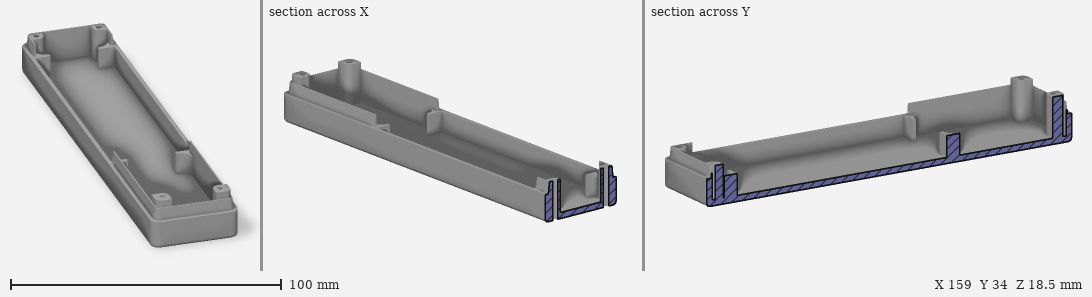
import cadquery as cq
import math

length = 159.0
width = 34.0
body_height = 11.0
corner_radius = 3.5
bottom_round = 1.5
floor_thickness = 2.5
side_wall = 1.5

lip_top = 15.6
lip_taper = 0.5
lip_corner_radius = 2.2
lip_wall = 1.0
lip_end_inset = 1.6
lip_side_inset = 1.5

rib_thickness = 1.5
middle_start = 13.5
middle_end = 104.5
rib_fillet = 5.1

hole_diameter = 2.2
post_radius = 2.5
left_post_inset = 5.0
left_post_reach = 2.5
right_post_inset_x = 6.0
right_post_inset_y = 5.9
right_post_reach = 3.5
right_post_top = 18.5
post_outer_radius = 2.2

left_end = -length / 2
right_end = length / 2
lip_height = lip_top - body_height
lip_length = length - 2 * lip_end_inset
lip_width = width - 2 * lip_side_inset
bay_right = lip_length / 2 - lip_wall
bay_left = -bay_right
bay_half_width = lip_width / 2 - lip_wall
middle_left = left_end + middle_start
middle_right = left_end + middle_end
left_lip_end = middle_left - rib_thickness
right_lip_start = middle_right + rib_thickness
rib_opening_half = bay_half_width - rib_fillet


def box(x_min, x_max, y_min, y_max, z_min, z_max):
    """Axis-aligned block given by its limits."""
    block = cq.Workplane("XY").box(x_max - x_min, y_max - y_min, z_max - z_min, centered=False)
    return block.translate((x_min, y_min, z_min))


def make_body():
    """Solid tray block with round corners and a rounded bottom edge."""
    block = cq.Workplane("XY").box(length, width, body_height, centered=(True, True, False))
    return block.edges("|Z").fillet(corner_radius).faces("<Z").edges().fillet(bottom_round)


def make_lip():
    """Tapered block on top of the body, removed over the middle bay and its ribs."""
    taper_angle = math.degrees(math.atan2(lip_taper, lip_height))
    outline = cq.Sketch().rect(lip_length, lip_width).vertices().fillet(lip_corner_radius)
    lip = (
        cq.Workplane("XY", origin=(0, 0, body_height))
        .placeSketch(outline)
        .extrude(lip_height, taper=taper_angle)
    )
    return lip.cut(box(left_lip_end, right_lip_start, -width, width, body_height, lip_top))


def make_end_bay(x_wall, x_rib):
    """Space of one end bay: rib corners are rounded in the body and left open inside the lip."""
    x_min = min(x_wall, x_rib)
    x_max = max(x_wall, x_rib)
    rib_side = ">X" if x_rib > x_wall else "<X"
    lower = box(x_min, x_max, -bay_half_width, bay_half_width, floor_thickness, body_height)
    upper = box(x_min, x_max, -bay_half_width, bay_half_width, body_height, lip_top)
    return lower.faces(rib_side).edges("|Z").fillet(rib_fillet).union(upper)


def make_cavity():
    """Both end bays, the wider middle bay and the opening between the rib tips."""
    middle_half_width = width / 2 - side_wall
    middle = box(middle_left, middle_right, -middle_half_width, middle_half_width, floor_thickness, lip_top)
    opening = box(
        left_lip_end, right_lip_start, -rib_opening_half, rib_opening_half, floor_thickness, lip_top
    )
    left_bay = make_end_bay(bay_left, left_lip_end)
    right_bay = make_end_bay(bay_right, right_lip_start)
    return middle.union(opening).union(left_bay).union(right_bay)


def make_post(x_hole, y_hole, reach, top):
    """Corner post: rounded about its hole inwards, square with a round corner outwards."""
    size = reach + post_radius
    shift = (reach - post_radius) / 2
    post = (
        cq.Workplane("XY")
        .rect(size, size)
        .extrude(top - floor_thickness)
        .edges("|Z and <X and <Y")
        .fillet(post_radius)
        .edges("|Z and >X and >Y")
        .fillet(post_outer_radius)
        .translate((shift, shift, floor_thickness))
    )
    if x_hole < 0:
        post = post.mirror("YZ")
    if y_hole < 0:
        post = post.mirror("XZ")
    return post.translate((x_hole, y_hole, 0))


left_hole_x = left_end + left_post_inset
left_hole_y = width / 2 - left_post_inset
right_hole_x = right_end - right_post_inset_x
right_hole_y = width / 2 - right_post_inset_y

result = make_body().union(make_lip()).cut(make_cavity())

for side in (-1, 1):
    result = result.union(make_post(left_hole_x, side * left_hole_y, left_post_reach, lip_top))
    result = result.union(make_post(right_hole_x, side * right_hole_y, right_post_reach, right_post_top))

left_holes = [(left_hole_x, side * left_hole_y) for side in (-1, 1)]
right_holes = [(right_hole_x, side * right_hole_y) for side in (-1, 1)]
holes = (
    cq.Workplane("XY")
    .pushPoints(left_holes + right_holes)
    .circle(hole_diameter / 2)
    .extrude(right_post_top)
)
result = result.cut(holes)